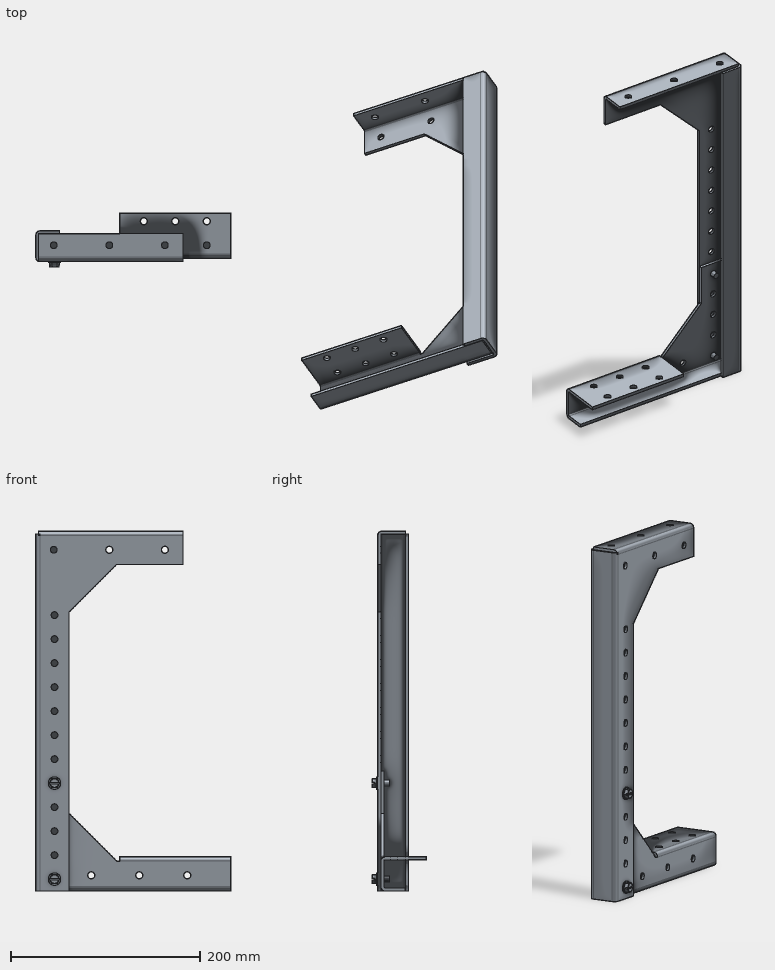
import cadquery as cq
import math

TOTAL_LENGTH = 206.375
TOTAL_DEPTH = 57.19
HEIGHT = 381.0

SHEET = 3.416
BEND_OUTER = 4.7625
BEND_INNER = BEND_OUTER - SHEET
HOLE_D = 7.14
HOLE_CUTTER_LENGTH = 2 * SHEET
ARM_HOLE_COUNT = 3

SCREW_ROWS = (0, 4)
SHANK_D = 6.35
SHANK_LENGTH = 12.7
WASHER_D = 13.2
WASHER_THICKNESS = 1.0
HEAD_FLATS = 9.525
SCREW_PROJECTION = 5.7
HEAD_CHAMFER_RADIAL = 1.0
HEAD_CHAMFER_AXIAL = 0.6
SLOT_WIDTH = 1.6
SLOT_DEPTH = 2.0

UPRIGHT_WIDTH = 35.3
UPRIGHT_DEPTH = 32.8
LIP_WIDTH = 25.4
UPPER_ARM_LENGTH = 156.0
ARM_WEB_HEIGHT = 35.56
TOP_FLANGE_DEPTH = 29.7
GUSSET = 50.2
CORNER_GAP = 2.9
UPRIGHT_HOLE_X = 19.84
FIRST_HOLE_Z = 12.7
UPRIGHT_HOLE_PITCH = 25.4
UPRIGHT_HOLE_COUNT = 12
UPPER_HOLE_X = 19.05
UPPER_HOLE_PITCH = 58.8
UPPER_WEB_HOLE_DROP = 19.84
UPPER_FLANGE_HOLE_Y = 17.5

LOWER_FRONT = SHEET
LOWER_LEFT = BEND_OUTER
LOWER_TOP = 36.5125
LOWER_GUSSET_TOP = 82.3
LOWER_TAB_HEIGHT = 127.0
SHELF_LENGTH = 117.475
SHELF_DEPTH = TOTAL_DEPTH - SCREW_PROJECTION - LOWER_FRONT
BASE_DEPTH = 25.4
LOWER_HOLE_Z = 16.7
LOWER_HOLE_PITCH = 50.8
LOWER_LAST_HOLE_INSET = 46.0
SHELF_HOLE_PITCH = 33.3
SHELF_HOLE_INSET = 25.4
SHELF_ROW_FRONT = 14.0
SHELF_ROW_PITCH = 25.4
SHELF_ROW_COUNT = 2

upright_hole_zs = [FIRST_HOLE_Z + i * UPRIGHT_HOLE_PITCH for i in range(UPRIGHT_HOLE_COUNT)]


def sheet_plate(outline, front):
    """Plate facing -Y, cut from an XZ outline, with its front face at y = front."""
    return cq.Workplane("XZ", origin=(0, front, 0)).polyline(outline).close().extrude(-SHEET)


def front_holes(points, front):
    """Round cutters along Y through a web whose front face is at y = front."""
    plane = cq.Workplane("XZ", origin=(0, front - SHEET / 2, 0))
    return plane.pushPoints(points).circle(HOLE_D / 2).extrude(-HOLE_CUTTER_LENGTH)


def flange_holes(points, top):
    """Round cutters along Z through a flange whose upper face is at z = top."""
    plane = cq.Workplane("XY", origin=(0, 0, top + SHEET / 2))
    return plane.pushPoints(points).circle(HOLE_D / 2).extrude(-HOLE_CUTTER_LENGTH)


def bent_flange(length, depth):
    """Flange along +X with its top at z = 0, running to y = depth, with the bend down to the web."""
    return (
        cq.Workplane("YZ")
        .moveTo(0, -BEND_OUTER)
        .radiusArc((BEND_OUTER, 0), BEND_OUTER)
        .lineTo(depth, 0)
        .lineTo(depth, -SHEET)
        .lineTo(BEND_OUTER, -SHEET)
        .radiusArc((SHEET, -BEND_OUTER), -BEND_INNER)
        .close()
        .extrude(length)
    )


def upright_channel(height):
    """Left flange with its two bends and the back lip."""
    back = UPRIGHT_DEPTH
    return (
        cq.Workplane("XY")
        .moveTo(BEND_OUTER, 0)
        .radiusArc((0, BEND_OUTER), BEND_OUTER)
        .lineTo(0, back - BEND_OUTER)
        .radiusArc((BEND_OUTER, back), BEND_OUTER)
        .lineTo(LIP_WIDTH, back)
        .lineTo(LIP_WIDTH, back - SHEET)
        .lineTo(BEND_OUTER, back - SHEET)
        .radiusArc((SHEET, back - BEND_OUTER), -BEND_INNER)
        .lineTo(SHEET, BEND_OUTER)
        .radiusArc((BEND_OUTER, SHEET), -BEND_INNER)
        .close()
        .extrude(height)
    )


def make_upper_bracket():
    arm_bottom = HEIGHT - ARM_WEB_HEIGHT
    web_top = HEIGHT - BEND_OUTER
    web = sheet_plate(
        [
            (BEND_OUTER, 0),
            (UPRIGHT_WIDTH, 0),
            (UPRIGHT_WIDTH, arm_bottom - GUSSET),
            (UPRIGHT_WIDTH + GUSSET, arm_bottom),
            (UPPER_ARM_LENGTH, arm_bottom),
            (UPPER_ARM_LENGTH, web_top),
            (BEND_OUTER, web_top),
        ],
        0,
    )
    channel = upright_channel(HEIGHT - CORNER_GAP)
    top_flange = bent_flange(UPPER_ARM_LENGTH - CORNER_GAP, TOP_FLANGE_DEPTH)
    top_flange = top_flange.translate((CORNER_GAP, 0, HEIGHT))
    arm_hole_xs = [UPPER_HOLE_X + i * UPPER_HOLE_PITCH for i in range(ARM_HOLE_COUNT)]
    web_points = [(UPRIGHT_HOLE_X, z) for z in upright_hole_zs]
    web_points += [(x, HEIGHT - UPPER_WEB_HOLE_DROP) for x in arm_hole_xs]
    flange_points = [(x, UPPER_FLANGE_HOLE_Y) for x in arm_hole_xs]
    bracket = web.union(channel).union(top_flange)
    return bracket.cut(front_holes(web_points, 0)).cut(flange_holes(flange_points, HEIGHT))


def make_lower_bracket():
    shelf_left = TOTAL_LENGTH - SHELF_LENGTH
    web_top = LOWER_TOP - BEND_OUTER
    gusset_foot = UPRIGHT_WIDTH + LOWER_GUSSET_TOP - web_top
    web = sheet_plate(
        [
            (LOWER_LEFT, BEND_OUTER),
            (TOTAL_LENGTH, BEND_OUTER),
            (TOTAL_LENGTH, web_top),
            (gusset_foot, web_top),
            (UPRIGHT_WIDTH, LOWER_GUSSET_TOP),
            (UPRIGHT_WIDTH, LOWER_TAB_HEIGHT),
            (LOWER_LEFT, LOWER_TAB_HEIGHT),
        ],
        LOWER_FRONT,
    )
    shelf = bent_flange(SHELF_LENGTH, SHELF_DEPTH)
    shelf = shelf.translate((shelf_left, LOWER_FRONT, LOWER_TOP))
    base = bent_flange(TOTAL_LENGTH - LOWER_LEFT, BASE_DEPTH).mirror("XY")
    base = base.translate((LOWER_LEFT, LOWER_FRONT, 0))
    last_x = TOTAL_LENGTH - LOWER_LAST_HOLE_INSET
    web_points = [(last_x - i * LOWER_HOLE_PITCH, LOWER_HOLE_Z) for i in range(ARM_HOLE_COUNT)]
    web_points += [(UPRIGHT_HOLE_X, z) for z in upright_hole_zs if z < LOWER_TAB_HEIGHT]
    shelf_xs = [TOTAL_LENGTH - SHELF_HOLE_INSET - i * SHELF_HOLE_PITCH for i in range(ARM_HOLE_COUNT)]
    shelf_ys = [LOWER_FRONT + SHELF_ROW_FRONT + i * SHELF_ROW_PITCH for i in range(SHELF_ROW_COUNT)]
    shelf_points = [(x, y) for x in shelf_xs for y in shelf_ys]
    bracket = web.union(shelf).union(base)
    return bracket.cut(front_holes(web_points, LOWER_FRONT)).cut(flange_holes(shelf_points, LOWER_TOP))


def make_screw(z):
    corners = HEAD_FLATS / math.cos(math.pi / 6)
    plane = cq.Workplane("XZ", origin=(UPRIGHT_HOLE_X, 0, z))
    washer = plane.circle(WASHER_D / 2).extrude(WASHER_THICKNESS)
    head = plane.polygon(6, corners).extrude(SCREW_PROJECTION)
    rounding = plane.circle(corners / 2).extrude(SCREW_PROJECTION)
    rounding = rounding.faces("<Y").chamfer(HEAD_CHAMFER_AXIAL, HEAD_CHAMFER_RADIAL)
    head = head.intersect(rounding)
    shank = plane.circle(SHANK_D / 2).extrude(-SHANK_LENGTH)
    slot = (
        plane.workplane(offset=SCREW_PROJECTION - SLOT_DEPTH)
        .rect(2 * corners, SLOT_WIDTH)
        .extrude(SLOT_DEPTH)
    )
    return washer.union(head).union(shank).cut(slot)


upper_bracket = make_upper_bracket()
lower_bracket = make_lower_bracket()
screws = [make_screw(upright_hole_zs[row]) for row in SCREW_ROWS]
result = cq.Compound.makeCompound(
    [upper_bracket.val(), lower_bracket.val(), *[screw.val() for screw in screws]]
)